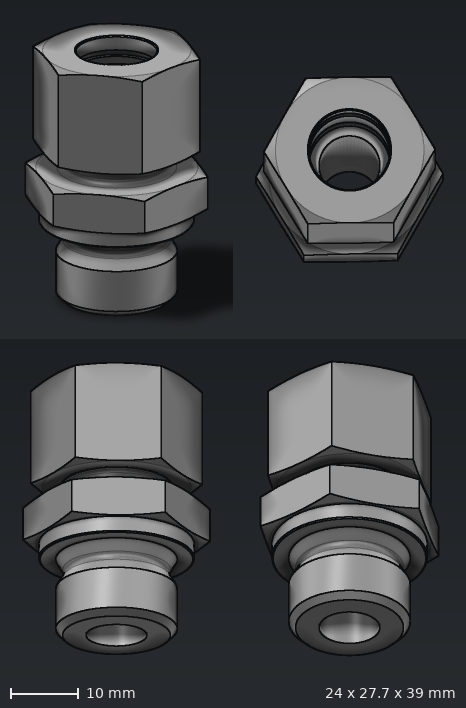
import cadquery as cq
import math


TOTAL_HEIGHT = 39.0
FLANGE_BOTTOM = 12.0
HEX_BOTTOM = 14.5
HEX_TOP = 20.5
NECK_UNDERCUT_TOP = 23.32
NUT_BOTTOM = 23.5
TUBE_STOP = 27.05
RING_TIP = 30.03
BODY_TOP = 34.05
NUT_CONE_TOP = 36.75

THROUGH_BORE_DIA = 9.0
TUBE_DIA = 12.0
STUD_DIA = 18.0
NECK_DIA = 15.7
FLANGE_DIA = 23.0
NUT_THREAD_DIA = 16.38
RING_DIA = 14.3
RING_MOUTH_DIA = 12.75

BODY_HEX_WIDTH = 24.02
NUT_HEX_WIDTH = 22.0

STUD_CHAMFER = 1.0
FLANGE_CHAMFER = 0.2
NUT_BORE_CHAMFER = 0.2
NECK_FILLET = 1.0
GROOVE_RADIUS = 1.3

UNDERCUT_ANGLE = 30.0
SEAT_ANGLE = 12.0
RING_MOUTH_ANGLE = 20.0
FILLET_MID_ANGLE = 45.0
HEX_CHAMFER_ANGLE = 15.0
HEX_HALF_SECTOR = 30.0

TUBE_RADIUS = TUBE_DIA / 2
NECK_RADIUS = NECK_DIA / 2
THREAD_RADIUS = NUT_THREAD_DIA / 2
RING_RADIUS = RING_DIA / 2


def slope(angle):
    """Radial change per unit of height for a cone at this angle to the axis."""
    return math.tan(math.radians(angle))


def revolve_about_z(profile):
    """Turn a closed (radius, height) profile once around the Z axis."""
    return profile.close().revolve(360, (0, 0, 0), (0, 1, 0))


def chamfered_hexagon(width, bottom, top):
    """Hexagonal prism with corners on the Y axis and both ends turned to a shallow cone."""
    height = top - bottom
    flat_radius = width / 2
    corner_radius = flat_radius / math.cos(math.radians(HEX_HALF_SECTOR))
    corner_drop = (corner_radius - flat_radius) * slope(HEX_CHAMFER_ANGLE)
    prism = (
        cq.Workplane("XY", origin=(0, 0, bottom))
        .polygon(6, 2 * corner_radius)
        .extrude(height)
        .rotate((0, 0, 0), (0, 0, 1), HEX_HALF_SECTOR)
    )
    envelope = revolve_about_z(
        cq.Workplane("XZ")
        .moveTo(0, bottom)
        .lineTo(flat_radius, bottom)
        .lineTo(corner_radius, bottom + corner_drop)
        .lineTo(corner_radius, top - corner_drop)
        .lineTo(flat_radius, top)
        .lineTo(0, top)
    )
    return prism.intersect(envelope)


def make_stud():
    """Screw-in stud with its V-shaped undercut, and the round flange above it."""
    stud_radius = STUD_DIA / 2
    flange_radius = FLANGE_DIA / 2
    cos_undercut = math.cos(math.radians(UNDERCUT_ANGLE))

    arc_end_radius = NECK_RADIUS + GROOVE_RADIUS * (1 - cos_undercut)
    arc_half_height = GROOVE_RADIUS * math.sin(math.radians(UNDERCUT_ANGLE))
    cone_height = (stud_radius - arc_end_radius) / slope(UNDERCUT_ANGLE)
    groove_middle = FLANGE_BOTTOM - cone_height - arc_half_height
    groove_bottom = groove_middle - arc_half_height - cone_height

    return revolve_about_z(
        cq.Workplane("XZ")
        .moveTo(0, 0)
        .lineTo(stud_radius - STUD_CHAMFER, 0)
        .lineTo(stud_radius, STUD_CHAMFER)
        .lineTo(stud_radius, groove_bottom)
        .lineTo(arc_end_radius, groove_middle - arc_half_height)
        .threePointArc((NECK_RADIUS, groove_middle), (arc_end_radius, groove_middle + arc_half_height))
        .lineTo(stud_radius, FLANGE_BOTTOM)
        .lineTo(flange_radius - FLANGE_CHAMFER, FLANGE_BOTTOM)
        .lineTo(flange_radius, FLANGE_BOTTOM + FLANGE_CHAMFER)
        .lineTo(flange_radius, HEX_BOTTOM)
        .lineTo(0, HEX_BOTTOM)
    )


def make_neck():
    """Neck above the hexagon, widening through an undercut to the threaded end."""
    undercut = math.radians(UNDERCUT_ANGLE)
    foot_middle = math.radians(FILLET_MID_ANGLE)
    fillet_top = HEX_TOP + NECK_FILLET
    foot_axis_radius = NECK_RADIUS + NECK_FILLET

    upper_end_radius = NECK_RADIUS + NECK_FILLET * (1 - math.cos(undercut))
    upper_start = NECK_UNDERCUT_TOP - NECK_FILLET * math.sin(undercut)
    upper_middle = (
        NECK_RADIUS + NECK_FILLET * (1 - math.cos(undercut / 2)),
        upper_start + NECK_FILLET * math.sin(undercut / 2),
    )
    thread_start = NECK_UNDERCUT_TOP + (THREAD_RADIUS - upper_end_radius) / slope(UNDERCUT_ANGLE)

    return revolve_about_z(
        cq.Workplane("XZ")
        .moveTo(0, HEX_TOP)
        .lineTo(foot_axis_radius, HEX_TOP)
        .threePointArc(
            (
                foot_axis_radius - NECK_FILLET * math.cos(foot_middle),
                fillet_top - NECK_FILLET * math.sin(foot_middle),
            ),
            (NECK_RADIUS, fillet_top),
        )
        .lineTo(NECK_RADIUS, upper_start)
        .threePointArc(upper_middle, (upper_end_radius, NECK_UNDERCUT_TOP))
        .lineTo(THREAD_RADIUS, thread_start)
        .lineTo(THREAD_RADIUS, BODY_TOP)
        .lineTo(0, BODY_TOP)
    )


def make_body_bore():
    """Through bore, tube socket and the tapered seat for the cutting ring."""
    bore_radius = THROUGH_BORE_DIA / 2
    seat_bottom = BODY_TOP - (RING_RADIUS - TUBE_RADIUS) / slope(SEAT_ANGLE)
    return revolve_about_z(
        cq.Workplane("XZ")
        .moveTo(0, 0)
        .lineTo(bore_radius, 0)
        .lineTo(bore_radius, TUBE_STOP)
        .lineTo(TUBE_RADIUS, TUBE_STOP)
        .lineTo(TUBE_RADIUS, seat_bottom)
        .lineTo(RING_RADIUS, BODY_TOP)
        .lineTo(0, BODY_TOP)
    )


def make_body():
    """Stud, hexagon and threaded neck in one piece, bored for the tube."""
    hexagon = chamfered_hexagon(BODY_HEX_WIDTH, HEX_BOTTOM, HEX_TOP)
    return make_stud().union(hexagon).union(make_neck()).cut(make_body_bore())


def make_cutting_ring():
    """Ring that sits in the tapered seat, its upper rim against the cone of the nut."""
    ring_top = NUT_CONE_TOP - (RING_RADIUS - TUBE_RADIUS)
    mouth_radius = RING_MOUTH_DIA / 2
    mouth_bottom = ring_top - (mouth_radius - TUBE_RADIUS) / slope(RING_MOUTH_ANGLE)
    tip_radius = RING_RADIUS - (BODY_TOP - RING_TIP) * slope(SEAT_ANGLE)
    return revolve_about_z(
        cq.Workplane("XZ")
        .moveTo(TUBE_RADIUS, RING_TIP)
        .lineTo(tip_radius, RING_TIP)
        .lineTo(RING_RADIUS, BODY_TOP)
        .lineTo(RING_RADIUS, ring_top)
        .lineTo(mouth_radius, ring_top)
        .lineTo(TUBE_RADIUS, mouth_bottom)
    )


def make_nut():
    """Hexagonal union nut with a threaded bore, a 45 degree cone and a tube hole."""
    cone_bottom = NUT_CONE_TOP - (THREAD_RADIUS - TUBE_RADIUS)
    bore = revolve_about_z(
        cq.Workplane("XZ")
        .moveTo(0, NUT_BOTTOM)
        .lineTo(THREAD_RADIUS, NUT_BOTTOM)
        .lineTo(THREAD_RADIUS, cone_bottom)
        .lineTo(TUBE_RADIUS, NUT_CONE_TOP)
        .lineTo(TUBE_RADIUS, TOTAL_HEIGHT - NUT_BORE_CHAMFER)
        .lineTo(TUBE_RADIUS + NUT_BORE_CHAMFER, TOTAL_HEIGHT)
        .lineTo(0, TOTAL_HEIGHT)
    )
    return chamfered_hexagon(NUT_HEX_WIDTH, NUT_BOTTOM, TOTAL_HEIGHT).cut(bore)


body = make_body()
cutting_ring = make_cutting_ring()
nut = make_nut()

result = cq.Compound.makeCompound([body.val(), cutting_ring.val(), nut.val()])